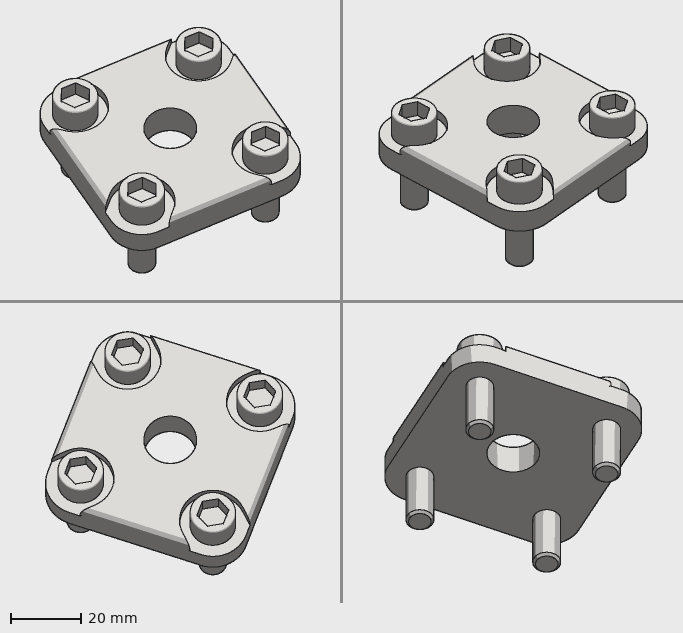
import cadquery as cq
import math

plate_side = 60.0
plate_height = 10.0
corner_radius = 10.0
edge_round = 2.0
bore_diameter = 15.0

seat_height = 7.0
pocket_radius = 9.5
screw_offset = plate_side / 2 - corner_radius

shank_diameter = 8.0
shank_below_plate = 18.0
head_diameter = 13.0
head_height = 8.0
head_round = 0.5
tip_chamfer = 0.8
hex_across_flats = 8.0
hex_depth = 5.0

screw_places = [(x * screw_offset, y * screw_offset) for x in (-1, 1) for y in (-1, 1)]


def make_corner_pocket(x, y):
    """Round pocket around a screw, open diagonally outward through the corner."""
    pocket_height = plate_height - seat_height
    opening_length = plate_side / 2
    opening = (
        cq.Workplane("XY")
        .center(opening_length / 2, 0)
        .rect(opening_length, 2 * pocket_radius)
        .extrude(pocket_height)
        .rotate((0, 0, 0), (0, 0, 1), math.degrees(math.atan2(y, x)))
    )
    pocket = cq.Workplane("XY").circle(pocket_radius).extrude(pocket_height).union(opening)
    return pocket.translate((x, y, seat_height))


def make_plate():
    """Rounded plate with a central bore, screw holes and corner pockets."""
    plate = (
        cq.Workplane("XY")
        .rect(plate_side, plate_side)
        .extrude(plate_height)
        .edges("|Z")
        .fillet(corner_radius)
        .faces(">Z")
        .edges()
        .fillet(edge_round)
    )
    bore = cq.Workplane("XY").circle(bore_diameter / 2).extrude(plate_height)
    screw_holes = (
        cq.Workplane("XY").pushPoints(screw_places).circle(shank_diameter / 2).extrude(plate_height)
    )
    plate = plate.cut(bore).cut(screw_holes)
    for x, y in screw_places:
        plate = plate.cut(make_corner_pocket(x, y))
    return plate


def make_screw(x, y):
    """Socket head screw whose head rests on the pocket floor."""
    shank = (
        cq.Workplane("XY")
        .workplane(offset=-shank_below_plate)
        .circle(shank_diameter / 2)
        .extrude(shank_below_plate + seat_height)
        .faces("<Z")
        .chamfer(tip_chamfer)
    )
    head = (
        cq.Workplane("XY")
        .workplane(offset=seat_height)
        .circle(head_diameter / 2)
        .extrude(head_height)
        .faces(">Z")
        .edges()
        .fillet(head_round)
    )
    hex_across_corners = hex_across_flats / math.cos(math.pi / 6)
    socket = (
        cq.Workplane("XY")
        .polygon(6, hex_across_corners)
        .extrude(hex_depth)
        .rotate((0, 0, 0), (0, 0, 1), 90)
        .translate((0, 0, seat_height + head_height - hex_depth))
    )
    return shank.union(head).cut(socket).translate((x, y, 0))


plate = make_plate()
screws = [make_screw(x, y) for x, y in screw_places]

result = cq.Compound.makeCompound([plate.solids().val(), *[screw.solids().val() for screw in screws]])